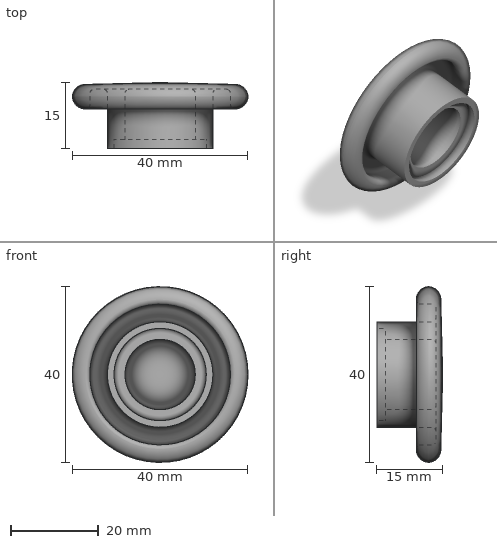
import cadquery as cq
import math


overall_length = 15.0
tube_length = 9.0
rim_radius = 3.0
cone_slope = 1 / 40
tube_radius = 24.0 / 2
bore_radius = 16.0 / 2
counterbore_radius = 21.0 / 2
counterbore_depth = 2.0
recess_radius = 32.0 / 2
recess_depth = 4.5
bore_floor_thickness = 1.5
corner_radius = 1.0

rim_inner_radius = recess_radius + corner_radius
rim_back_y = overall_length - cone_slope * rim_inner_radius
rim_middle_y = (tube_length + rim_back_y) / 2
front_round_center_y = tube_length + rim_radius
back_round_center_y = rim_back_y - rim_radius
rim_center_offset = front_round_center_y - rim_middle_y
flange_radius = rim_inner_radius + math.sqrt(rim_radius**2 - rim_center_offset**2)
recess_floor_y = tube_length + recess_depth
bore_floor_y = overall_length - bore_floor_thickness
diagonal = math.sqrt(0.5)


def round_midpoint(center_radius, center_y, radius, radius_side, y_side):
    """Point at 45 degrees on a round; the sides (+1 or -1) pick the quadrant about its centre."""
    reach = radius * diagonal
    return center_radius + radius_side * reach, center_y + y_side * reach


def make_profile():
    """Half section with X as the radius and Y along the axis."""
    c = corner_radius
    return (
        cq.Workplane("XY")
        .moveTo(0, overall_length)
        .lineTo(rim_inner_radius, rim_back_y)
        .threePointArc(
            round_midpoint(rim_inner_radius, back_round_center_y, rim_radius, 1, 1),
            (flange_radius, rim_middle_y),
        )
        .threePointArc(
            round_midpoint(rim_inner_radius, front_round_center_y, rim_radius, 1, -1),
            (rim_inner_radius, tube_length),
        )
        .threePointArc(
            round_midpoint(recess_radius + c, tube_length + c, c, -1, -1),
            (recess_radius, tube_length + c),
        )
        .lineTo(recess_radius, recess_floor_y - c)
        .threePointArc(
            round_midpoint(recess_radius - c, recess_floor_y - c, c, 1, 1),
            (recess_radius - c, recess_floor_y),
        )
        .lineTo(tube_radius + c, recess_floor_y)
        .threePointArc(
            round_midpoint(tube_radius + c, recess_floor_y - c, c, -1, 1),
            (tube_radius, recess_floor_y - c),
        )
        .lineTo(tube_radius, 0)
        .lineTo(counterbore_radius, 0)
        .lineTo(counterbore_radius, counterbore_depth)
        .lineTo(bore_radius, counterbore_depth)
        .lineTo(bore_radius, bore_floor_y - c)
        .threePointArc(
            round_midpoint(bore_radius - c, bore_floor_y - c, c, 1, 1),
            (bore_radius - c, bore_floor_y),
        )
        .lineTo(0, bore_floor_y)
        .close()
    )


result = make_profile().revolve(360, (0, 0, 0), (0, 1, 0))